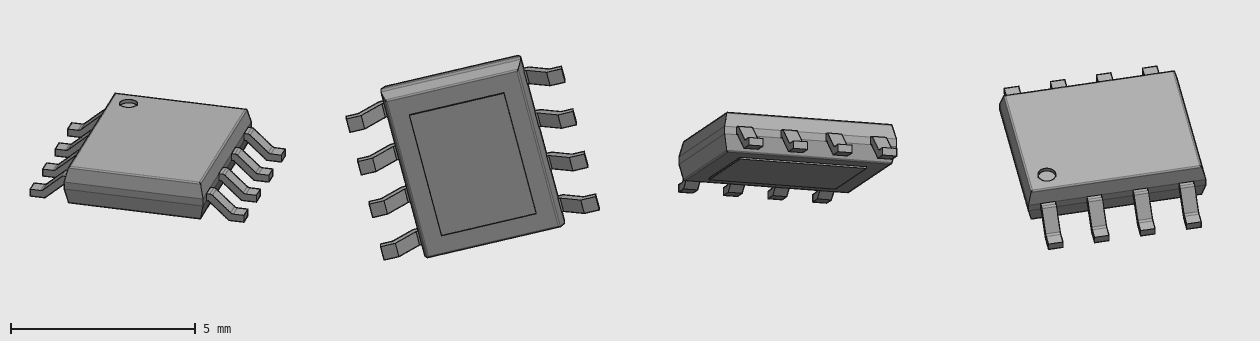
import cadquery as cq
import math

overall_span = 6.0
total_height = 1.15

housing_width = 3.9
housing_length = 4.9
housing_standoff = 0.05
band_top = 0.725
lead_thickness = 0.21
band_bottom = band_top - lead_thickness
draft_inset = 0.1
rim_radius = 0.05

mark_diameter = 0.485
mark_depth = 0.1
mark_x = -1.32
mark_y = 1.81

pad_width = 2.64
pad_length = 3.6

leads_per_side = 4
lead_pitch = 1.27
lead_width = 0.4
foot_length = 0.335
shoulder_length = 0.14
bend_radius = 0.11


def make_drafted_half(band, face, height):
    """Half of the housing on one band face, drafted inward to an outer face with a rounded rim."""
    return (
        band.faces(face)
        .workplane()
        .rect(housing_width, housing_length)
        .extrude(height, taper=math.degrees(math.atan2(draft_inset, height)), combine=False)
        .faces(face)
        .edges()
        .fillet(rim_radius)
    )


def make_housing():
    """Upright middle band with drafted upper and lower halves and a pin-one recess."""
    band = (
        cq.Workplane("XY", origin=(0, 0, band_bottom))
        .rect(housing_width, housing_length)
        .extrude(lead_thickness)
    )
    upper_half = make_drafted_half(band, ">Z", total_height - band_top)
    lower_half = make_drafted_half(band, "<Z", band_bottom - housing_standoff)
    mark = (
        cq.Workplane("XY", origin=(mark_x, mark_y, total_height - mark_depth))
        .circle(mark_diameter / 2)
        .extrude(mark_depth)
    )
    return band.union(upper_half).union(lower_half).cut(mark)


def make_pad():
    """Flat thermal pad filling the standoff below the housing."""
    return cq.Workplane("XY").rect(pad_width, pad_length).extrude(housing_standoff)


def make_lead():
    """Right-hand (+X) lead centred on Y = 0, with its root against the housing band."""
    root_x = housing_width / 2
    tip_x = overall_span / 2
    shoulder_x = root_x + shoulder_length
    heel_x = tip_x - foot_length
    slope_angle = math.atan2(band_top - lead_thickness, heel_x - shoulder_x)
    miter_shift = lead_thickness * math.tan(slope_angle / 2)
    profile = [
        (root_x, band_top),
        (shoulder_x, band_top),
        (heel_x, lead_thickness),
        (tip_x, lead_thickness),
        (tip_x, 0),
        (heel_x - miter_shift, 0),
        (shoulder_x - miter_shift, band_bottom),
        (root_x, band_bottom),
    ]
    lead = cq.Workplane("XZ").polyline(profile).close().extrude(lead_width / 2, both=True)
    margin = bend_radius / 10
    upper_bends = cq.selectors.BoxSelector(
        (shoulder_x - margin, -lead_width, lead_thickness - margin),
        (heel_x + margin, lead_width, band_top + margin),
    )
    return lead.edges("|Y").edges(upper_bends).fillet(bend_radius)


housing = make_housing()
pad = make_pad()
right_lead = make_lead()
left_lead = right_lead.rotate((0, 0, 0), (0, 0, 1), 180)

leads = []
for index in range(leads_per_side):
    lead_y = (index - (leads_per_side - 1) / 2) * lead_pitch
    leads.append(right_lead.translate((0, lead_y, 0)).val())
    leads.append(left_lead.translate((0, lead_y, 0)).val())

result = cq.Compound.makeCompound([housing.val(), pad.val(), *leads])